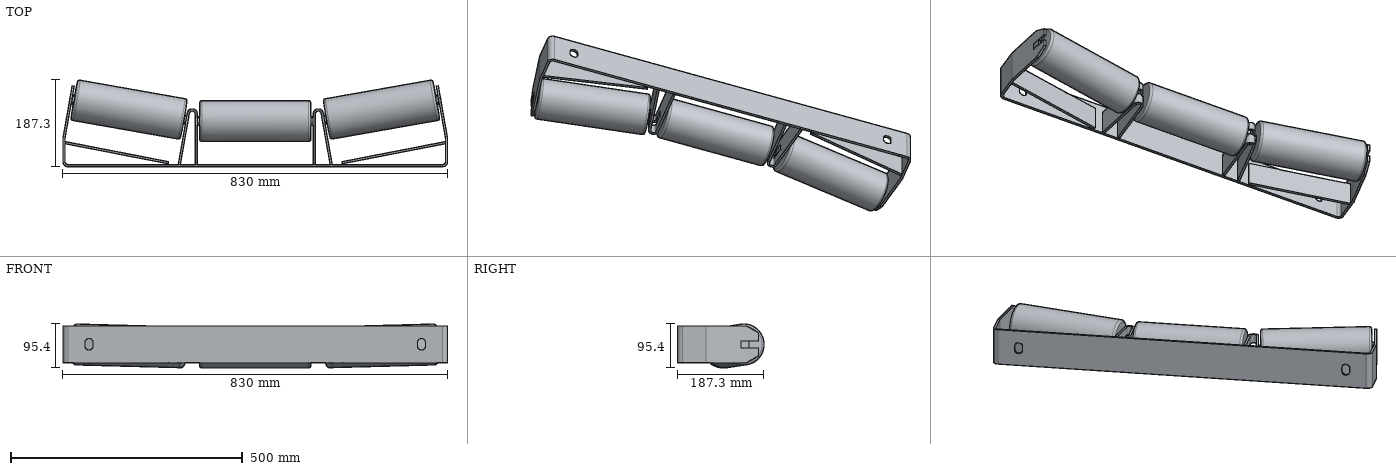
import cadquery as cq
import math

frame_length = 830.0
frame_height = 80.0
plate_thickness = 5.0
corner_radius = 12.0
lean_angle = 10.0
lean_start = 62.0
end_plate_reach = 175.0
end_tip_height = 50.0
end_taper_length = 26.5

mount_offset = 358.5
mount_width = 17.5
mount_height = 25.0

roller_diameter = 89.0
roller_length = 240.0
roller_edge_radius = 5.0
shaft_diameter = 20.0
shaft_gap = 5.0
tang_width = 18.0
tang_height = 15.0
side_axis_reach = 146.0
middle_axis_reach = 99.0
tilt_angle = 1.5

bracket_reach = 125.0
bracket_height = 60.0
brace_angle = 11.0
brace_start = 55.0
brace_length = 227.5
brace_height = 58.0

lean = math.radians(lean_angle)
axis_x, axis_y = math.cos(lean), -math.sin(lean)
plate_x, plate_y = math.sin(lean), math.cos(lean)

neck_length = roller_length + 2 * shaft_gap
shaft_length = neck_length + 2 * plate_thickness

shoulder_clearance = shaft_diameter / 2 * math.tan(math.radians(tilt_angle))

axis_start_x = -frame_length / 2 + (side_axis_reach - lean_start) * math.tan(lean)
axis_drop = shaft_length * math.tan(math.radians(tilt_angle)) / 2
side_center = cq.Vector(
    axis_start_x + axis_x * shaft_length / 2,
    side_axis_reach + axis_y * shaft_length / 2,
    -axis_drop,
)
middle_center = cq.Vector(0, middle_axis_reach, -2 * axis_drop)


def on_middle_axis(body):
    """Move a body lying along X at the origin onto the middle roller axis."""
    return body.translate(middle_center)


def on_left_axis(body):
    """Tilt, lean and move a body lying along X at the origin onto the left roller axis."""
    tilted = body.rotate((0, 0, 0), (0, 1, 0), tilt_angle)
    return tilted.rotate((0, 0, 0), (0, 0, 1), -lean_angle).translate(side_center)


def on_side(body, side):
    """Leave a left-hand body in place (side -1) or mirror it to the right (side 1)."""
    return body if side < 0 else body.mirror("YZ")


def make_cylinder(diameter, length):
    """Cylinder centred on the origin along X."""
    return cq.Workplane("YZ", origin=(-length / 2, 0, 0)).circle(diameter / 2).extrude(length)


def make_roller():
    """Drum, shaft and tangs, centred on the origin along X."""
    drum = make_cylinder(roller_diameter, roller_length)
    drum = drum.edges("%CIRCLE").fillet(roller_edge_radius)
    shaft = make_cylinder(shaft_diameter, neck_length - 2 * shoulder_clearance)
    tangs = cq.Workplane("XY").box(shaft_length, tang_width, tang_height)
    return drum.union(shaft).union(tangs)


def make_tang_slot():
    """Cutter for the open slots that take the tangs of one roller, lying along X."""
    overhang = 12.5
    depth = roller_diameter
    cutter = cq.Workplane("XY").box(shaft_length + 2 * overhang, depth, tang_height)
    return cutter.translate((0, (depth - tang_width) / 2, 0))


def make_frame():
    """Bent strip with tapered, leaning end plates, mounting slots and tang slots."""
    half = frame_length / 2
    plate_length = (end_plate_reach - lean_start) / plate_y
    tip_x = -half + plate_length * plate_x
    left = [
        (-half, 0),
        (-half, lean_start),
        (tip_x, end_plate_reach),
        (tip_x + plate_thickness * axis_x, end_plate_reach + plate_thickness * axis_y),
        (-half + plate_thickness, lean_start - plate_thickness * math.tan(lean / 2)),
        (-half + plate_thickness, plate_thickness),
    ]
    right = [(-x, y) for x, y in reversed(left)]
    strip = (
        cq.Workplane("XY", origin=(0, 0, -frame_height / 2))
        .polyline(left + right)
        .close()
        .extrude(frame_height)
    )

    inset = half - plate_thickness
    for x in (-half, half):
        strip = strip.edges(cq.selectors.NearestToPointSelector((x, 0, 0))).fillet(corner_radius)
    for x in (-inset, inset):
        strip = strip.edges(
            cq.selectors.NearestToPointSelector((x, plate_thickness, 0))
        ).fillet(corner_radius - plate_thickness)

    taper_start = end_plate_reach - end_taper_length
    outline = [
        (0, -frame_height / 2),
        (taper_start, -frame_height / 2),
        (end_plate_reach, -end_tip_height / 2),
        (end_plate_reach, end_tip_height / 2),
        (taper_start, frame_height / 2),
        (0, frame_height / 2),
    ]
    strip = strip.intersect(
        cq.Workplane("YZ", origin=(-half, 0, 0)).polyline(outline).close().extrude(frame_length)
    )

    mounts = (
        cq.Workplane("XZ")
        .pushPoints([(-mount_offset, 0), (mount_offset, 0)])
        .slot2D(mount_height, mount_width, 90)
        .extrude(-plate_thickness)
    )
    strip = strip.cut(mounts)
    for side in (-1, 1):
        strip = strip.cut(on_side(on_left_axis(make_tang_slot()), side))
    return strip


def make_left_bracket():
    """Plate folded over into an upright leg and a leg square to the left roller."""
    upright_x = -neck_length / 2
    leg_distance = axis_start_x * axis_x + side_axis_reach * axis_y + shaft_length - plate_thickness
    fold_radius = (upright_x * axis_x + bracket_reach * axis_y - leg_distance) / (
        1 + axis_x + axis_y
    )
    center_x = upright_x - fold_radius
    center_y = bracket_reach - fold_radius
    mid_angle = (math.pi - lean) / 2

    def leg_foot(distance):
        return ((distance - plate_thickness * axis_y) / axis_x, plate_thickness)

    def fold_points(radius):
        leaning = (center_x - radius * axis_x, center_y - radius * axis_y)
        crown = (center_x + radius * math.cos(mid_angle), center_y + radius * math.sin(mid_angle))
        upright = (center_x + radius, center_y)
        return leaning, crown, upright

    outer_leaning, outer_crown, outer_upright = fold_points(fold_radius)
    inner_leaning, inner_crown, inner_upright = fold_points(fold_radius - plate_thickness)
    bracket = (
        cq.Workplane("XY")
        .moveTo(*leg_foot(leg_distance))
        .lineTo(*outer_leaning)
        .threePointArc(outer_crown, outer_upright)
        .lineTo(upright_x, plate_thickness)
        .lineTo(upright_x - plate_thickness, plate_thickness)
        .lineTo(*inner_upright)
        .threePointArc(inner_crown, inner_leaning)
        .lineTo(*leg_foot(leg_distance + plate_thickness))
        .close()
        .extrude(bracket_height)
        .translate((0, 0, -frame_height / 2))
    )
    slot = make_tang_slot()
    return bracket.cut(on_left_axis(slot)).cut(on_middle_axis(slot))


def make_left_brace():
    """Flat bar from the upright end of the frame down towards the strip."""
    angle = math.radians(brace_angle)
    wall_x = -frame_length / 2 + plate_thickness
    tip_x = wall_x + brace_length * math.cos(angle)
    tip_y = brace_start - brace_length * math.sin(angle)
    outline = [
        (wall_x, brace_start),
        (tip_x, tip_y),
        (tip_x - plate_thickness * math.sin(angle), tip_y - plate_thickness * math.cos(angle)),
        (wall_x, brace_start - plate_thickness / math.cos(angle)),
    ]
    brace = cq.Workplane("XY").polyline(outline).close().extrude(brace_height)
    return brace.translate((0, 0, -frame_height / 2))


frame = make_frame()
middle_roller = on_middle_axis(make_roller())
side_rollers = []
brackets = []
braces = []
for side in (-1, 1):
    side_rollers.append(on_side(on_left_axis(make_roller()), side).val())
    brackets.append(on_side(make_left_bracket(), side).val())
    braces.append(on_side(make_left_brace(), side).val())

result = cq.Compound.makeCompound(
    [frame.val(), middle_roller.val(), *side_rollers, *brackets, *braces]
)